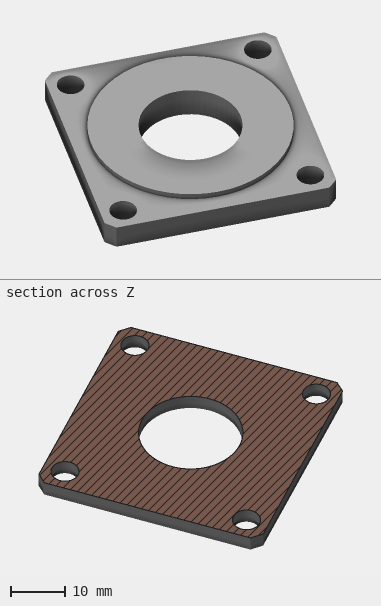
import cadquery as cq

plate_side = 44.45
total_height = 5.95
boss_height = 1.2
plate_thickness = total_height - boss_height
corner_chamfer = 1.82

boss_diameter = 38.1
bore_diameter = 19.2

hole_diameter = 5.1
hole_spacing = 35.9

plate = (
    cq.Workplane("XY")
    .rect(plate_side, plate_side)
    .extrude(plate_thickness)
    .edges("|Z")
    .chamfer(corner_chamfer)
)

boss = cq.Workplane("XY").circle(boss_diameter / 2).extrude(total_height)

bore = cq.Workplane("XY").circle(bore_diameter / 2).extrude(total_height)

mounting_holes = (
    cq.Workplane("XY")
    .rect(hole_spacing, hole_spacing, forConstruction=True)
    .vertices()
    .circle(hole_diameter / 2)
    .extrude(plate_thickness)
)

result = plate.union(boss).cut(bore).cut(mounting_holes)